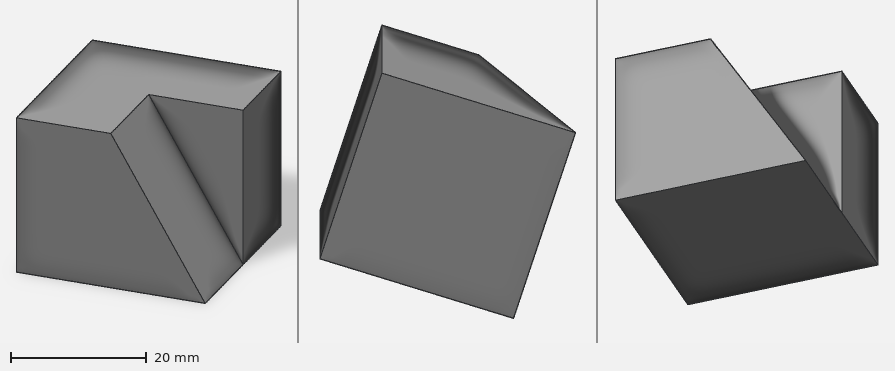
import cadquery as cq

side = 30.0
height = 25.0

cut_width = side / 2
cut_depth = side / 2

block = cq.Workplane("XY").box(side, side, height, centered=False)

wedge = (
    cq.Workplane("XZ")
    .moveTo(side - cut_width, height)
    .lineTo(side, height)
    .lineTo(side, 0)
    .close()
    .extrude(-cut_depth)
)

result = block.cut(wedge)